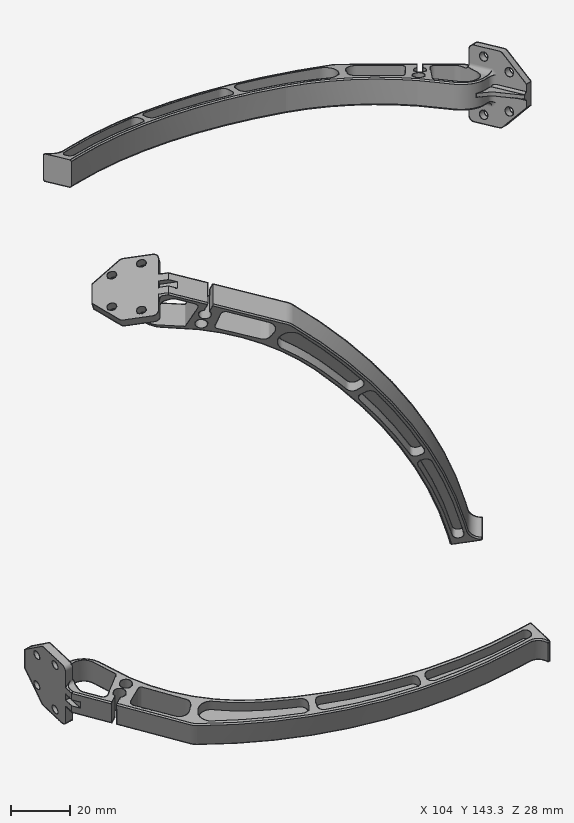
import cadquery as cq
import math

TOTAL_WIDTH = 104.0
TOTAL_LENGTH = 143.3
ARM_HEIGHT = 10.0
WALL = 1.65

PLATE_LEFT = 81.1
PLATE_HEIGHT = 28.0
PLATE_THICKNESS = 3.0
PLATE_CORNER_RADIUS = 2.0
PLATE_TAPER_X = 94.0
PLATE_NOSE_HEIGHT = 8.6
PLATE_FACE_Y = TOTAL_LENGTH - PLATE_THICKNESS
SCREW_DIAMETER = 3.3
SCREW_PLACES = [(87.0, 10.6), (97.2, 7.2)]

ARM_END_X = 90.3
FLARE = 2.0
SIDE_FILLET = 1.5

FIN_THICKNESS = 1.5
FIN_ROOT = 0.9
FIN_START_X = 89.4
FIN_START_Y = 131.7
FIN_BEND = (93.1, 135.7)
FIN_BEND_RADIUS = 2.9
FIN_TIP_Y = 139.0

FOOT_RIGHT = 11.2
FOOT_EDGE = 0.9
ARM_LEFT = 3.9
TOE_CURVE_Y = 5.6
TOE_RADIUS = 4.9
OUTER_CURVE_START = (ARM_LEFT, 10.0)
ELBOW = (40.7, 119.8)
SLOPE_TOP = (77.7, TOTAL_LENGTH)
ELBOW_RADIUS = 6.5
EDGE_CHAMFER = 0.5
INNER_CURVE_START = (FOOT_RIGHT, 4.9)
INNER_CURVE_CHANGE = (37.1, 94.5)
INNER_CURVE_END = (71.6, 123.1)
HEEL_START = (83.7, 126.8)
HEEL_END = (ARM_END_X, 135.8)

POCKET_DEPTH = 4.0
POCKETS = [
    (((5.6, 2.7), (9.5, 2.7), 1.9), ((8.6, 44.5), (13.9, 43.0), 2.1)),
    (((10.0, 46.7), (14.6, 45.4), 2.0), ((20.3, 82.2), (27.0, 79.4), 2.3)),
    (((22.4, 84.5), (28.5, 81.1), 2.6), ((41.4, 117.5), (49.3, 111.3), 4.5)),
]

LOWER_WINDOW = [(61.6, 131.3, 1.7), (66.2, 123.4, 1.1), (50.2, 113.5, 2.6), (43.8, 119.8, 3.6)]
UPPER_WINDOW = [(68.5, 135.5, 1.7), (75.5, 126.1, 0.5), (88.5, 130.0, 5.6), (88.5, 138.3, 4.9), (76.5, 140.7, 3.6)]

KEYHOLE = (67.8, 130.5)
ROUND_HOLE = (69.9, 126.2)
HOLE_DIAMETER = 4.3
SLIT_WIDTH = 1.9
SLIT_LENGTH = 7.2

NOTCH_WIDTH = 2.9
NOTCH_DEPTH = 1.7


def slab(outline, height):
    """Extrude an outline by half the height to either side of its plane."""
    return outline.extrude(height / 2, both=True)


def rounded_polygon(plane, corners):
    """Closed outline through (x, y, radius) corners, each rounded by a tangent arc."""
    starts, middles, ends = [], [], []
    for i, (x, y, radius) in enumerate(corners):
        corner = cq.Vector(x, y)
        to_last = (cq.Vector(*corners[i - 1][:2]) - corner).normalized()
        to_next = (cq.Vector(*corners[(i + 1) % len(corners)][:2]) - corner).normalized()
        half_angle = to_last.getAngle(to_next) / 2
        setback = radius / math.tan(half_angle)
        to_arc = radius / math.sin(half_angle) - radius
        starts.append((corner + to_last * setback).toTuple()[:2])
        middles.append((corner + (to_last + to_next).normalized() * to_arc).toTuple()[:2])
        ends.append((corner + to_next * setback).toTuple()[:2])
    path = plane.moveTo(*ends[-1])
    for (x, y, radius), start, middle, end in zip(corners, starts, middles, ends):
        path = path.lineTo(*start)
        if radius > 0:
            path = path.threePointArc(middle, end)
    return path.close()


def arm_outline(toe=True):
    """Closed outline of the arm; without its toe the left side runs straight down to y = 0."""
    rise_x = ELBOW[0] - OUTER_CURVE_START[0]
    rise_y = ELBOW[1] - OUTER_CURVE_START[1]
    outer_radius = (rise_x**2 + rise_y**2) / (2 * rise_x)
    outline = (
        cq.Workplane("XY")
        .lineTo(FOOT_RIGHT, 0)
        .lineTo(*INNER_CURVE_START)
        .tangentArcPoint(INNER_CURVE_CHANGE, relative=False)
        .tangentArcPoint(INNER_CURVE_END, relative=False)
        .lineTo(*HEEL_START)
        .tangentArcPoint(HEEL_END, relative=False)
        .lineTo(ARM_END_X, TOTAL_LENGTH)
        .lineTo(*SLOPE_TOP)
        .lineTo(*ELBOW)
        .radiusArc(OUTER_CURVE_START, -outer_radius)
    )
    if toe:
        outline = outline.lineTo(ARM_LEFT, TOE_CURVE_Y).radiusArc((0, FOOT_EDGE), TOE_RADIUS)
    else:
        outline = outline.lineTo(ARM_LEFT, 0)
    return outline.close()


def nearest_edges(shape, points):
    """The edge of the shape whose middle is closest to each point."""
    selectors = [cq.selectors.NearestToPointSelector(point) for point in points]
    return [shape.edges(selector).val() for selector in selectors]


def arm():
    """Solid arm with a rounded elbow, chamfered along both faces except at the foot's underside."""
    body = slab(arm_outline(), ARM_HEIGHT)
    body = body.newObject(nearest_edges(body, [(*ELBOW, 0)])).fillet(ELBOW_RADIUS)
    return body.faces("|Z").edges("not(<Y)").chamfer(EDGE_CHAMFER)


def plate():
    half_height = PLATE_HEIGHT / 2
    half_nose = PLATE_NOSE_HEIGHT / 2
    corners = [
        (PLATE_LEFT, -half_height, PLATE_CORNER_RADIUS),
        (PLATE_TAPER_X, -half_height, PLATE_CORNER_RADIUS),
        (TOTAL_WIDTH, -half_nose, 0),
        (TOTAL_WIDTH, half_nose, 0),
        (PLATE_TAPER_X, half_height, PLATE_CORNER_RADIUS),
        (PLATE_LEFT, half_height, PLATE_CORNER_RADIUS),
    ]
    face = cq.Workplane("XZ", origin=(0, TOTAL_LENGTH, 0))
    return rounded_polygon(face, corners).extrude(PLATE_THICKNESS)


def arm_on_plate():
    """Arm and plate joined, with a fillet around the root of the arm."""
    joined = arm().union(plate())
    half_height = ARM_HEIGHT / 2
    root_middle_x = (PLATE_LEFT + ARM_END_X) / 2
    face_corners = [(ARM_END_X, PLATE_FACE_Y, 0)]
    for side in (1, -1):
        face_corners.append((root_middle_x, PLATE_FACE_Y, side * half_height))
        chamfer_z = side * (half_height - EDGE_CHAMFER / 2)
        face_corners.append((ARM_END_X - EDGE_CHAMFER / 2, PLATE_FACE_Y, chamfer_z))
    joined = joined.newObject(nearest_edges(joined, face_corners)).fillet(FLARE)
    side_y = TOTAL_LENGTH - PLATE_THICKNESS / 2
    side_corners = [(PLATE_LEFT, side_y, half_height), (PLATE_LEFT, side_y, -half_height)]
    return joined.newObject(nearest_edges(joined, side_corners)).fillet(SIDE_FILLET)


def fin():
    """Rib from the heel of the arm to the far end of the plate, widened at the plate."""
    web_corners = [
        (FIN_START_X, PLATE_FACE_Y, 0),
        (FIN_START_X, FIN_START_Y, 0),
        (FIN_BEND[0], FIN_BEND[1], FIN_BEND_RADIUS),
        (TOTAL_WIDTH, FIN_TIP_Y, 0),
        (TOTAL_WIDTH, PLATE_FACE_Y, 0),
    ]
    web = slab(rounded_polygon(cq.Workplane("XY"), web_corners), FIN_THICKNESS)
    half_web = FIN_THICKNESS / 2
    root = (
        cq.Workplane("YZ", origin=(FIN_START_X, 0, 0))
        .moveTo(PLATE_FACE_Y, -half_web - FIN_ROOT)
        .radiusArc((PLATE_FACE_Y - FIN_ROOT, -half_web), FIN_ROOT)
        .lineTo(PLATE_FACE_Y - FIN_ROOT, half_web)
        .radiusArc((PLATE_FACE_Y, half_web + FIN_ROOT), FIN_ROOT)
        .close()
        .extrude(TOTAL_WIDTH - FIN_START_X)
    )
    return web.union(root)


def pocket(start, end):
    """Pocket volume between two closing lines, following the arm walls and rounded at its corners."""
    sides = []
    for left, right, radius in (start, end):
        outward = (cq.Vector(*left) - cq.Vector(*right)).normalized() * ARM_HEIGHT
        far_left = (cq.Vector(*left) + outward).toTuple()[:2]
        far_right = (cq.Vector(*right) - outward).toTuple()[:2]
        sides.append([far_left, far_right])
    band = slab(cq.Workplane("XY").polyline([*sides[0], *reversed(sides[1])]).close(), ARM_HEIGHT)
    volume = slab(arm_outline(toe=False).offset2D(-WALL), ARM_HEIGHT).intersect(band)
    for left, right, radius in (start, end):
        corners = [(*left, 0), (*right, 0)]
        volume = volume.newObject(nearest_edges(volume.edges("|Z"), corners)).fillet(radius)
    return volume


def windows():
    lower = rounded_polygon(cq.Workplane("XY"), LOWER_WINDOW)
    upper = rounded_polygon(cq.Workplane("XY"), UPPER_WINDOW)
    return slab(lower, PLATE_HEIGHT).union(slab(upper, PLATE_HEIGHT))


def keyhole():
    """Round hole opened to the sloping side of the arm by a slit square to it, and a second hole."""
    slope = math.degrees(math.atan2(SLOPE_TOP[1] - ELBOW[1], SLOPE_TOP[0] - ELBOW[0]))
    holes = slab(cq.Workplane("XY").pushPoints([KEYHOLE, ROUND_HOLE]).circle(HOLE_DIAMETER / 2), ARM_HEIGHT)
    slit = cq.Workplane("XY").center(*KEYHOLE).transformed(rotate=(0, 0, slope))
    slit = slab(slit.center(0, SLIT_LENGTH / 2).rect(SLIT_WIDTH, SLIT_LENGTH), ARM_HEIGHT)
    return holes.union(slit)


def screw_holes():
    centres = [(x, side * z) for x, z in SCREW_PLACES for side in (1, -1)]
    face = cq.Workplane("XZ", origin=(0, TOTAL_LENGTH, 0))
    return face.pushPoints(centres).circle(SCREW_DIAMETER / 2).extrude(PLATE_THICKNESS)


def notch():
    """Open groove in the back of the arm end, running in from its sloping side to the plate."""
    size = (PLATE_LEFT - ELBOW[0], NOTCH_DEPTH, NOTCH_WIDTH)
    return cq.Workplane("XY").box(*size, centered=(False, False, True)).translate(
        (ELBOW[0], TOTAL_LENGTH - NOTCH_DEPTH, 0)
    )


result = arm_on_plate().union(fin())
result = result.cut(windows()).cut(keyhole()).cut(screw_holes()).cut(notch())
for start, end in POCKETS:
    recess = pocket(start, end)
    for face_side in (1, -1):
        result = result.cut(recess.translate((0, 0, face_side * (ARM_HEIGHT - POCKET_DEPTH))))